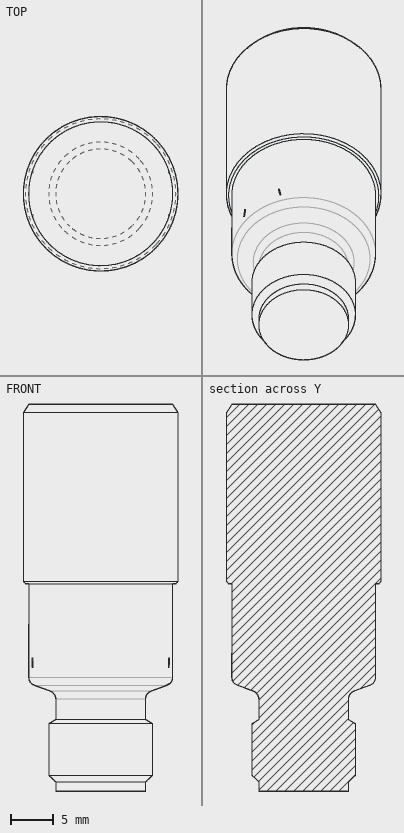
import cadquery as cq
import math

TOTAL_HEIGHT = 45.05
SPIGOT_TOP = 1.1
THREAD_BOTTOM = 1.85
THREAD_TOP = 7.9
NECK_BOTTOM = 8.38
SHOULDER_OUTER_HEIGHT = 12.55
HEAD_BOTTOM = 24.15

HEAD_RADIUS = 9.0
BODY_RADIUS = 8.38
THREAD_RADIUS = 6.05
NECK_RADIUS = 5.22

TOP_CHAMFER_HEIGHT = 1.0
TOP_CHAMFER_WIDTH = 0.65
HEAD_LOWER_CHAMFER = 0.25
SHOULDER_SLOPE = 20.0
SHOULDER_FILLET = 1.0

MARK_HEIGHT = 1.1
MARK_WIDTH = 0.1
MARK_DEPTH = 0.1
MARK_CENTER_Y = 2.55
MARK_CENTER_Z = 14.95
MARK_TILT = 10.0

shoulder_rise = (BODY_RADIUS - NECK_RADIUS) * math.tan(math.radians(SHOULDER_SLOPE))
SHOULDER_INNER_HEIGHT = SHOULDER_OUTER_HEIGHT - shoulder_rise


def ring_edge(part, radius, height):
    """Select the circular edge of the given radius at the given height."""
    tolerance = 0.05
    low = (-radius - tolerance, -radius - tolerance, height - tolerance)
    high = (radius + tolerance, radius + tolerance, height + tolerance)
    return part.edges(cq.selectors.BoxSelector(low, high, boundingbox=True))


def turned_body():
    """Revolve the stepped half profile and round both ends of the conical shoulder."""
    profile = [
        (0, 0),
        (NECK_RADIUS, 0),
        (NECK_RADIUS, SPIGOT_TOP),
        (THREAD_RADIUS, THREAD_BOTTOM),
        (THREAD_RADIUS, THREAD_TOP),
        (NECK_RADIUS, NECK_BOTTOM),
        (NECK_RADIUS, SHOULDER_INNER_HEIGHT),
        (BODY_RADIUS, SHOULDER_OUTER_HEIGHT),
        (BODY_RADIUS, HEAD_BOTTOM),
        (HEAD_RADIUS - HEAD_LOWER_CHAMFER, HEAD_BOTTOM),
        (HEAD_RADIUS, HEAD_BOTTOM + HEAD_LOWER_CHAMFER),
        (HEAD_RADIUS, TOTAL_HEIGHT - TOP_CHAMFER_HEIGHT),
        (HEAD_RADIUS - TOP_CHAMFER_WIDTH, TOTAL_HEIGHT),
        (0, TOTAL_HEIGHT),
    ]
    body = cq.Workplane("XZ").polyline(profile).close().revolve(360, (0, 0, 0), (0, 1, 0))
    body = ring_edge(body, BODY_RADIUS, SHOULDER_OUTER_HEIGHT).fillet(SHOULDER_FILLET)
    return ring_edge(body, NECK_RADIUS, SHOULDER_INNER_HEIGHT).fillet(SHOULDER_FILLET)


def mark_cutter(side_x, side_y):
    """Thin slanted blade that reaches MARK_DEPTH below the body surface."""
    surface_x = math.sqrt(BODY_RADIUS**2 - MARK_CENTER_Y**2)
    blade_length = 2 * MARK_DEPTH
    blade = cq.Workplane("XY").box(blade_length, MARK_WIDTH, MARK_HEIGHT)
    blade = blade.rotate((0, 0, 0), (1, 0, 0), side_y * MARK_TILT)
    return blade.translate((side_x * surface_x, side_y * MARK_CENTER_Y, MARK_CENTER_Z))


result = turned_body()
for side_x in (-1, 1):
    for side_y in (-1, 1):
        result = result.cut(mark_cutter(side_x, side_y))